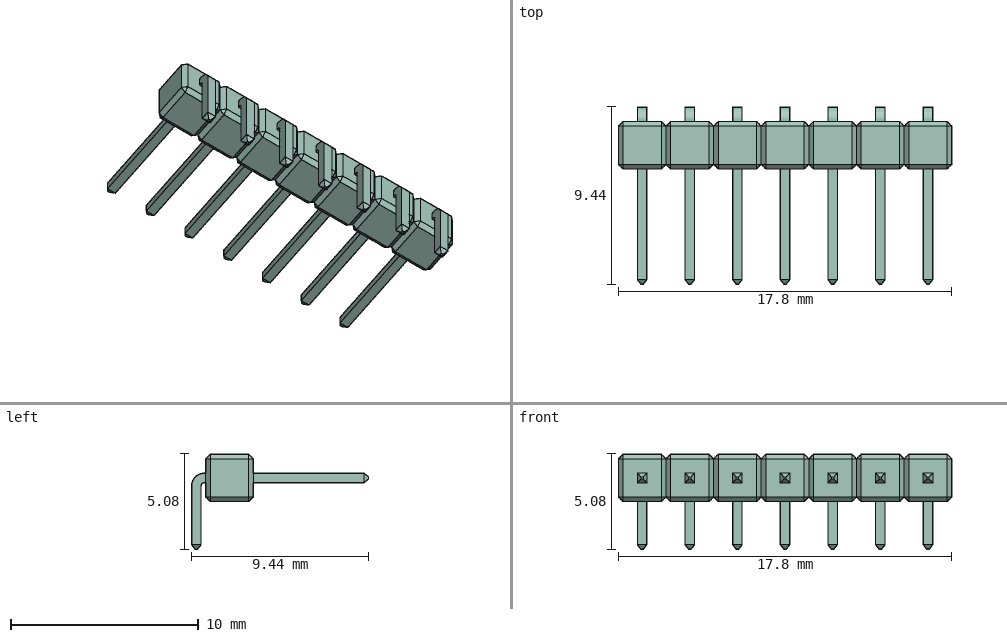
import cadquery as cq
import math

ROW_LENGTH = 17.78
POSITION_COUNT = 7
PITCH = ROW_LENGTH / POSITION_COUNT

BLOCK_SIDE = PITCH
BLOCK_CHAMFER = 0.25

PIN_WIDTH = 0.52
HALF_PIN = PIN_WIDTH / 2
TIP_LENGTH = 0.25
TIP_END_WIDTH = 0.12

FRONT_REACH = 7.41
REAR_REACH = 2.03
DROP = 1.5 * PITCH

BEND_CORNERS = 6
BEND_STEP = math.pi / 2 / BEND_CORNERS
BEND_INNER_RADIUS = 0.18
BEND_OUTER_RADIUS = BEND_INNER_RADIUS + PIN_WIDTH
BEND_CENTRE_Y = REAR_REACH - BEND_OUTER_RADIUS
BEND_CENTRE_Z = HALF_PIN - BEND_OUTER_RADIUS

ARM_END_Y = TIP_LENGTH - FRONT_REACH
LEG_END_Z = TIP_LENGTH - DROP
LEG_CENTRE_Y = REAR_REACH - HALF_PIN


def make_block():
    """Cube with every edge chamfered, centred on the origin."""
    return cq.Workplane("XY").box(BLOCK_SIDE, BLOCK_SIDE, BLOCK_SIDE).edges().chamfer(BLOCK_CHAMFER)


def bend_points(facet_radius):
    """Corners (Y, Z) on one side of the bend, from the arm round to the leg."""
    corner_radius = facet_radius / math.cos(BEND_STEP / 2)
    points = []
    for corner in range(BEND_CORNERS):
        angle = (corner + 0.5) * BEND_STEP
        y = BEND_CENTRE_Y + corner_radius * math.sin(angle)
        z = BEND_CENTRE_Z + corner_radius * math.cos(angle)
        points.append((y, z))
    return points


def make_shank():
    """Square bar: an arm along Y through the block, bent down into a leg behind it."""
    outer_side = [(ARM_END_Y, HALF_PIN), *bend_points(BEND_OUTER_RADIUS), (REAR_REACH, LEG_END_Z)]
    inner_side = [
        (ARM_END_Y, -HALF_PIN),
        *bend_points(BEND_INNER_RADIUS),
        (REAR_REACH - PIN_WIDTH, LEG_END_Z),
    ]
    outline = outer_side + inner_side[::-1]
    return cq.Workplane("YZ").polyline(outline).close().extrude(HALF_PIN, both=True)


def make_tip(base_plane):
    """Blunt pyramid that grows from one end of the shank."""
    return (
        cq.Workplane(base_plane)
        .rect(PIN_WIDTH, PIN_WIDTH)
        .workplane(offset=TIP_LENGTH)
        .rect(TIP_END_WIDTH, TIP_END_WIDTH)
        .loft(ruled=True)
    )


def make_pin():
    """Bent square pin with a tip at each end."""
    arm_end = cq.Plane(origin=(0, ARM_END_Y, 0), xDir=(1, 0, 0), normal=(0, -1, 0))
    leg_end = cq.Plane(origin=(0, LEG_CENTRE_Y, LEG_END_Z), xDir=(1, 0, 0), normal=(0, 0, -1))
    return make_shank().union(make_tip(arm_end)).union(make_tip(leg_end))


def make_contact_unit(centre_x):
    """One position of the row, a block and its pin in a single solid."""
    return make_block().union(make_pin()).translate((centre_x, 0, 0))


contact_units = []
for position in range(POSITION_COUNT):
    centre_x = (position - (POSITION_COUNT - 1) / 2) * PITCH
    contact_units.append(make_contact_unit(centre_x).solids().val())

result = cq.Compound.makeCompound(contact_units)